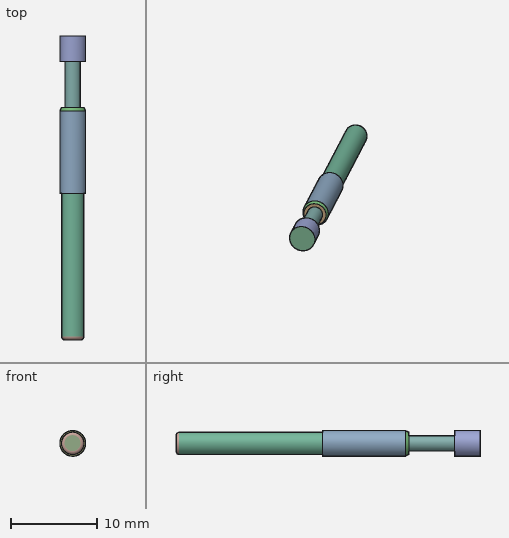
import cadquery as cq
import math

tube_radius = 1.3
tube_length = 17.0
tube_end_fillet = 0.375

collar_radius = 1.5
collar_length = 10.0
collar_bevel_depth = 0.2
collar_bevel_length = 0.4

stem_radius = 0.9
stem_length = 5.3

head_radius = collar_radius
head_length = 3.0

tube_end = -tube_length
stem_end = collar_length + stem_length
head_end = stem_end + head_length

fillet_inset = tube_end_fillet * (1 - math.sqrt(0.5))
fillet_middle = (tube_radius - fillet_inset, tube_end + fillet_inset)


def make_half_profile():
    """Closed half section of the pin: X is the radius and Y is the position along the axis."""
    return (
        cq.Workplane("XY")
        .moveTo(0, tube_end)
        .lineTo(tube_radius - tube_end_fillet, tube_end)
        .threePointArc(fillet_middle, (tube_radius, tube_end + tube_end_fillet))
        .lineTo(tube_radius, 0)
        .lineTo(collar_radius, 0)
        .lineTo(collar_radius, collar_length - collar_bevel_length)
        .lineTo(collar_radius - collar_bevel_depth, collar_length)
        .lineTo(stem_radius, collar_length)
        .lineTo(stem_radius, stem_end)
        .lineTo(head_radius, stem_end)
        .lineTo(head_radius, head_end)
        .lineTo(0, head_end)
        .close()
    )


result = make_half_profile().revolve(360, (0, 0, 0), (0, 1, 0))